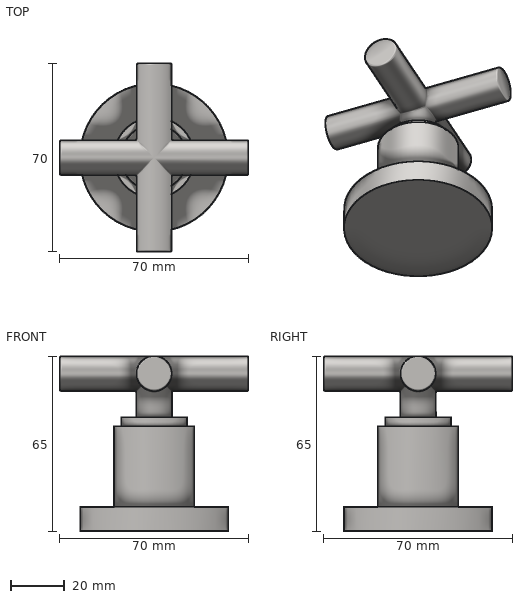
import cadquery as cq

handle_span = 70.0
overall_height = 64.95

flange_diameter = 55.0
flange_height = 9.0

sleeve_diameter = 29.95
sleeve_height = 29.95
collar_diameter = 24.5
collar_height = 3.3

arm_diameter = 13.0
arm_end_fillet = 0.7
stem_diameter = 13.3
junction_fillet = 0.5

sleeve_top = flange_height + sleeve_height
collar_top = sleeve_top + collar_height
arm_axis_height = overall_height - arm_diameter / 2


def cylinder(diameter, height, base_height):
    """Upright cylinder on the Z axis."""
    return cq.Workplane("XY").workplane(offset=base_height).circle(diameter / 2).extrude(height)


def make_flange():
    """Round base plate."""
    return cylinder(flange_diameter, flange_height, 0)


def make_sleeve():
    """Sleeve standing on the flange, stepped in to a collar at the top."""
    sleeve = cylinder(sleeve_diameter, sleeve_height, flange_height)
    collar = cylinder(collar_diameter, collar_height, sleeve_top)
    return sleeve.union(collar)


def make_bar(plane):
    """Horizontal bar centred on the Z axis, along the normal of the given plane."""
    return (
        cq.Workplane(plane, origin=(0, 0, arm_axis_height))
        .circle(arm_diameter / 2)
        .extrude(handle_span / 2, both=True)
    )


def make_handle():
    """Cross of two bars on a stem, with rounded junctions and arm ends."""
    stem = cylinder(stem_diameter, arm_axis_height - collar_top, collar_top)
    handle = make_bar("YZ").union(make_bar("XZ")).union(stem)
    junction_reach = stem_diameter / 2 + junction_fillet
    junction_box = cq.selectors.BoxSelector(
        (-junction_reach, -junction_reach, collar_top + junction_fillet),
        (junction_reach, junction_reach, overall_height),
    )
    handle = handle.edges(junction_box).fillet(junction_fillet)
    return handle.faces("<X or >X or <Y or >Y").edges().fillet(arm_end_fillet)


flange = make_flange()
sleeve = make_sleeve()
handle = make_handle()

result = cq.Compound.makeCompound([flange.val(), sleeve.val(), handle.val()])